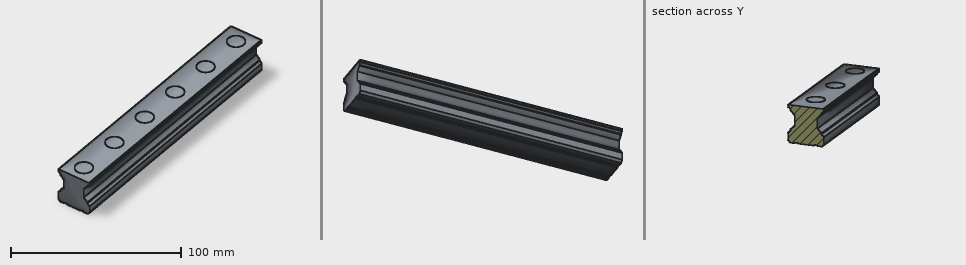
import cadquery as cq

rail_width = 23.0
rail_length = 170.0
rail_height = 23.6

half_width = rail_width / 2
waist_half_width = 7.4
waist_height = 6.4
waist_center_z = 14.25
lip_z = 21.8
top_chamfer = 0.4
base_chamfer = 1.5

nick_half_width = 9.95
nick_height = 0.7
nick_depth = 0.25

groove_center_x = 6.1
groove_width = 2.7
groove_floor_width = 1.0
groove_depth = 0.5

seat_count = 6
seat_pitch = 30.0
seat_diameter = 11.0
seat_depth = 0.1


def groove_points():
    """Points of the underside groove on the +X side, from the inside outward."""
    half_mouth = groove_width / 2
    half_floor = groove_floor_width / 2
    return [
        (groove_center_x - half_mouth, 0),
        (groove_center_x - half_floor, groove_depth),
        (groove_center_x + half_floor, groove_depth),
        (groove_center_x + half_mouth, 0),
    ]


def flank_points(direction):
    """Points of one +X flank from the waist to the end of its nick; direction is +1 up or -1 down."""
    waist_corner = waist_height / 2
    nick_start = waist_corner + (nick_half_width - waist_half_width)
    nick_end = nick_start + nick_height
    return [
        (waist_half_width, waist_center_z + direction * waist_corner),
        (nick_half_width, waist_center_z + direction * nick_start),
        (nick_half_width - nick_depth, waist_center_z + direction * nick_end),
        (nick_half_width, waist_center_z + direction * nick_end),
    ]


def right_outline():
    """Points of the +X half of the cross-section, from the base up to the top."""
    lower_flank = flank_points(-1)
    upper_flank = flank_points(1)
    lower_nick_z = lower_flank[-1][1]
    upper_nick_z = upper_flank[-1][1]
    base = [
        (half_width - base_chamfer, 0),
        (half_width, base_chamfer),
        (half_width, lower_nick_z - (half_width - nick_half_width)),
    ]
    head = [
        (nick_half_width + (lip_z - upper_nick_z), lip_z),
        (half_width, lip_z),
        (half_width, rail_height - top_chamfer),
        (half_width - top_chamfer, rail_height),
    ]
    return groove_points() + base + lower_flank[::-1] + upper_flank + head


def make_rail():
    """Extrude the symmetric cross-section along Y, centered on the origin."""
    right = right_outline()
    left = [(-x, z) for x, z in reversed(right)]
    profile = cq.Workplane("XZ").polyline(right + left).close()
    return profile.extrude(rail_length / 2, both=True)


def make_plug_seats():
    """Shallow round seats in one row along the middle of the top face."""
    floor = cq.Workplane("XY").workplane(offset=rail_height - seat_depth)
    row = floor.rarray(rail_width, seat_pitch, 1, seat_count)
    return row.circle(seat_diameter / 2).extrude(seat_depth)


result = make_rail().cut(make_plug_seats())